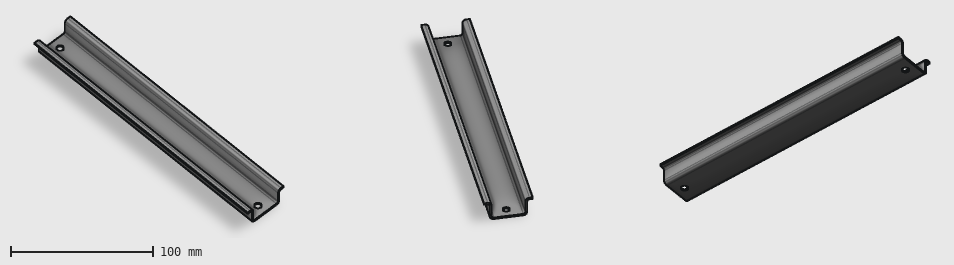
import cadquery as cq

length = 216.0
width = 35.0
height = 15.0

sheet = 1.5
channel_width = 27.0
inner_radius = 1.5
outer_radius = inner_radius + sheet

hole_diameter = 5.2
hole_spacing = 200.5


def rail_section():
    """Closed top-hat outline in the YZ plane, floor at Z = 0 and lips at the top."""
    lip = width / 2
    outside = channel_width / 2
    inside = outside - sheet
    return (
        cq.Workplane("YZ")
        .polyline([
            (-outside, 0),
            (outside, 0),
            (outside, height - sheet),
            (lip, height - sheet),
            (lip, height),
            (inside, height),
            (inside, sheet),
            (-inside, sheet),
            (-inside, height),
            (-lip, height),
            (-lip, height - sheet),
            (-outside, height - sheet),
        ])
        .close()
    )


def bend_edges(body, half_width, z):
    """Lengthwise edges at the given height, on both sides of the channel."""
    points = [(0, side * half_width, z) for side in (-1, 1)]
    edges = body.edges("|X")
    for point in points:
        yield edges.edges(cq.selectors.NearestToPointSelector(point)).val()


def round_bends(body):
    """Round the inside and outside of the floor bends and the lip bends."""
    outside = channel_width / 2
    inside = outside - sheet
    bends = [
        (outside, 0, outer_radius),
        (inside, sheet, inner_radius),
        (inside, height, outer_radius),
        (outside, height - sheet, inner_radius),
    ]
    for half_width, z, radius in bends:
        edges = list(bend_edges(body, half_width, z))
        body = body.newObject(edges).fillet(radius)
    return body


rail = rail_section().extrude(length / 2, both=True)
rail = round_bends(rail)

holes = (
    cq.Workplane("XY")
    .pushPoints([(-hole_spacing / 2, 0), (hole_spacing / 2, 0)])
    .circle(hole_diameter / 2)
    .extrude(sheet)
)

result = rail.cut(holes)